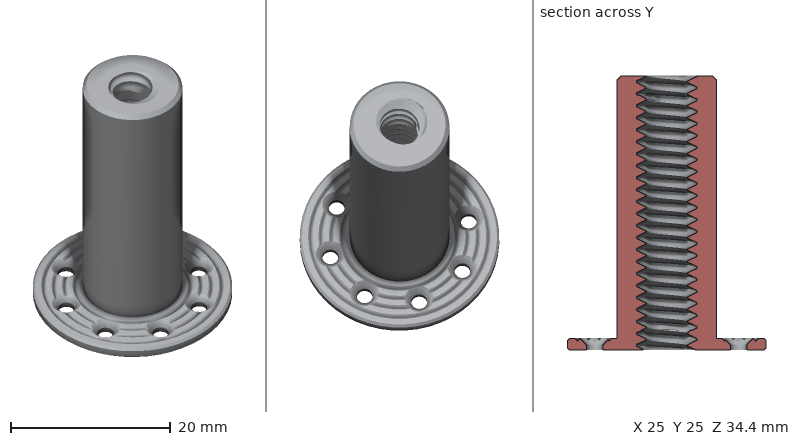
import cadquery as cq
import math

FLANGE_DIAMETER = 25.0
FLANGE_THICKNESS = 1.5
FLANGE_CHAMFER = 0.3
TUBE_DIAMETER = 12.5
TUBE_CHAMFER = 0.5
TOTAL_HEIGHT = 34.38

GROOVE_COUNT = 4
GROOVE_DEPTH = 0.3
FIRST_GROOVE_RADIUS = 7.23
GROOVE_SPACING = 1.31

SCREW_HOLE_COUNT = 8
SCREW_HOLE_DIAMETER = 2.0
SCREW_CIRCLE_DIAMETER = 18.0
COUNTERSINK_DIAMETER = 3.6
COUNTERSINK_ANGLE = 90.0

BORE_DIAMETER = 5.0
BORE_SEAM_ANGLE = 77.0
THREAD_PITCH = 1.5
THREAD_DEPTH = 1.25
CREST_FLAT = 0.08
ROOT_FLAT = THREAD_PITCH / 8
OVERLAP = 0.05


def make_body():
    """Flange and tube, both centred on Z."""
    flange = (
        cq.Workplane("XY")
        .circle(FLANGE_DIAMETER / 2)
        .extrude(FLANGE_THICKNESS)
        .edges()
        .chamfer(FLANGE_CHAMFER)
    )
    tube = (
        cq.Workplane("XY")
        .circle(TUBE_DIAMETER / 2)
        .extrude(TOTAL_HEIGHT)
        .faces(">Z")
        .edges()
        .chamfer(TUBE_CHAMFER)
    )
    return flange.union(tube)


def make_groove(radius):
    """Ring with a V section, centred on the given radius."""
    return (
        cq.Workplane("XZ")
        .moveTo(radius - GROOVE_DEPTH, FLANGE_THICKNESS)
        .lineTo(radius, FLANGE_THICKNESS - GROOVE_DEPTH)
        .lineTo(radius + GROOVE_DEPTH, FLANGE_THICKNESS)
        .close()
        .revolve(360, (0, 0, 0), (0, 1, 0))
    )


def cut_screw_holes(body):
    """Ring of through holes countersunk from the top of the flange."""
    return (
        body.copyWorkplane(cq.Workplane("XY", origin=(0, 0, FLANGE_THICKNESS)))
        .polarArray(SCREW_CIRCLE_DIAMETER / 2, 0, 360, SCREW_HOLE_COUNT)
        .cskHole(SCREW_HOLE_DIAMETER, COUNTERSINK_DIAMETER, COUNTERSINK_ANGLE, FLANGE_THICKNESS)
    )


def make_bore():
    """Plain through bore, with its seam turned away from the thread's start and end."""
    return (
        cq.Workplane("XY")
        .circle(BORE_DIAMETER / 2)
        .extrude(TOTAL_HEIGHT)
        .rotate((0, 0, 0), (0, 0, 1), BORE_SEAM_ANGLE)
    )


def make_thread_cutter():
    """Right-hand helical groove that runs out of both ends of the bore."""
    bore_radius = BORE_DIAMETER / 2
    root_radius = bore_radius + THREAD_DEPTH
    inner_radius = bore_radius - OVERLAP
    root_half = ROOT_FLAT / 2
    bore_half = (THREAD_PITCH - CREST_FLAT) / 2
    flank_slope = (bore_half - root_half) / THREAD_DEPTH
    inner_half = bore_half + OVERLAP * flank_slope

    turns_below_top = math.ceil(TOTAL_HEIGHT / THREAD_PITCH) + 1
    quarter_turn_rise = THREAD_PITCH / 4
    start_height = TOTAL_HEIGHT - turns_below_top * THREAD_PITCH - quarter_turn_rise
    length = (turns_below_top + 1) * THREAD_PITCH

    corners = [
        (inner_radius, -inner_half),
        (root_radius, -root_half),
        (root_radius, root_half),
        (inner_radius, inner_half),
    ]
    helices = [
        cq.Wire.makeHelix(THREAD_PITCH, length, radius, center=cq.Vector(0, 0, start_height + offset))
        for radius, offset in corners
    ]
    faces = []
    for index, helix in enumerate(helices):
        next_helix = helices[(index + 1) % len(helices)]
        faces += cq.Face.makeRuledSurface(helix, next_helix).Faces()
    for end_height in (start_height, start_height + length):
        outline = [cq.Vector(radius, 0, end_height + offset) for radius, offset in corners]
        faces.append(cq.Face.makeFromWires(cq.Wire.makePolygon(outline, close=True)))
    cutter = cq.Solid.makeSolid(cq.Shell.makeShell(faces)).fix()
    return cq.Workplane(obj=cutter).rotate((0, 0, 0), (0, 0, 1), -90)


def make_part():
    """Body with its flange grooves, screw holes and threaded bore."""
    body = make_body()
    for index in range(GROOVE_COUNT):
        body = body.cut(make_groove(FIRST_GROOVE_RADIUS + index * GROOVE_SPACING))
    body = cut_screw_holes(body)
    return body.cut(make_bore()).cut(make_thread_cutter())


result = make_part()